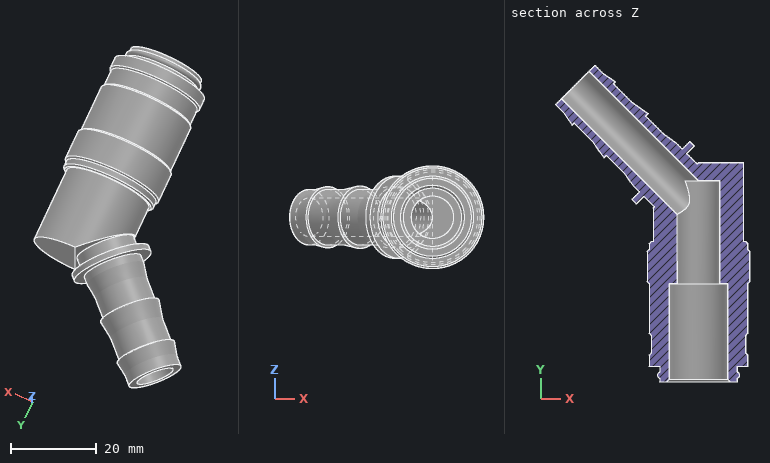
import cadquery as cq
import math

band_diameter = 24.0
band_radius = band_diameter / 2
collar_radius = 11.5
groove_radius = 11.05
neck_radius = 10.55
spigot_radius = 9.1
spigot_length = 3.6
bead_radius = 9.6
bead_middle = 1.6
bead_half_width = 0.75
chamfer = 0.45
lower_flange_end = 6.8
groove_end = 10.9
band_start = 22.9
band_end = 30.9
collar_end = 32.75
body_length = 51.1

mouth_radius = 7.45
mouth_chamfer = 0.7
socket_radius = mouth_radius - mouth_chamfer
socket_depth = 22.85
bore_radius = 4.95

tail_origin_y = 40.5
tail_angle = 45
tail_length = 40.55
hose_radius = 6.5
root_radius = 7.1
stop_radius = 9.6
stop_start = 10.9
stop_width = 1.5
root_cone_start = 14.4
root_cone_end = 18.1
inner_barb_crest = (7.3, 23.8)
inner_barb_end = 28.5
outer_barb_crest = (7.15, 34.45)
outer_barb_end = 37.9
tail_bore_radius = 4.5

bore_end_y = tail_origin_y + tail_bore_radius / math.sin(math.radians(tail_angle))

seat_distance = (body_length - tail_origin_y) * math.cos(math.radians(tail_angle))
cutter_size = 73.75


def revolve_profile(points):
    """Turn a closed (radius, axial) profile about the Y axis."""
    return cq.Workplane("XY").polyline(points).close().revolve(360, (0, 0), (0, 1))


def place_tail(shape):
    """Move a shape built along +Y onto the tail axis."""
    turned = shape.rotate((0, 0, 0), (0, 0, 1), tail_angle)
    return turned.translate((0, tail_origin_y, 0))


def make_body():
    profile = [
        (0, 0),
        (spigot_radius, 0),
        (spigot_radius, spigot_length),
        (collar_radius, spigot_length),
        (collar_radius, lower_flange_end - chamfer),
        (groove_radius, lower_flange_end),
        (groove_radius, groove_end),
        (collar_radius, groove_end + chamfer),
        (collar_radius, band_start),
        (band_radius, band_start + chamfer),
        (band_radius, band_end - chamfer),
        (collar_radius, band_end),
        (collar_radius, collar_end - chamfer),
        (collar_radius - chamfer, collar_end),
        (neck_radius, collar_end),
        (neck_radius, body_length),
        (0, body_length),
    ]
    seat_cutter = cq.Workplane("XZ").rect(cutter_size, cutter_size).extrude(-cutter_size)
    return revolve_profile(profile).cut(place_tail(seat_cutter.translate((0, seat_distance, 0))))


def make_bead():
    """Rounded sealing bead around the spigot."""
    section = (
        cq.Workplane("XY")
        .moveTo(bore_radius, bead_middle - bead_half_width)
        .lineTo(spigot_radius, bead_middle - bead_half_width)
        .threePointArc((bead_radius, bead_middle), (spigot_radius, bead_middle + bead_half_width))
        .lineTo(bore_radius, bead_middle + bead_half_width)
        .close()
    )
    return section.revolve(360, (0, 0), (0, 1))


def make_tail():
    profile = [
        (0, 0),
        (root_radius, 0),
        (root_radius, stop_start),
        (stop_radius, stop_start),
        (stop_radius, stop_start + stop_width),
        (root_radius, stop_start + stop_width),
        (root_radius, root_cone_start),
        (hose_radius, root_cone_end),
        (hose_radius, inner_barb_crest[1]),
        inner_barb_crest,
        (hose_radius, inner_barb_end),
        (hose_radius, outer_barb_crest[1]),
        outer_barb_crest,
        (hose_radius, outer_barb_end),
        (hose_radius, tail_length),
        (0, tail_length),
    ]
    return place_tail(revolve_profile(profile))


def make_body_bore():
    return revolve_profile([
        (0, 0),
        (mouth_radius, 0),
        (socket_radius, mouth_chamfer),
        (socket_radius, socket_depth),
        (bore_radius, socket_depth),
        (bore_radius, bore_end_y),
        (0, bore_end_y),
    ])


def make_tail_bore():
    return place_tail(cq.Workplane("XZ").circle(tail_bore_radius).extrude(-tail_length))


solid_fitting = make_body().union(make_bead()).union(make_tail())
result = solid_fitting.cut(make_body_bore()).cut(make_tail_bore())